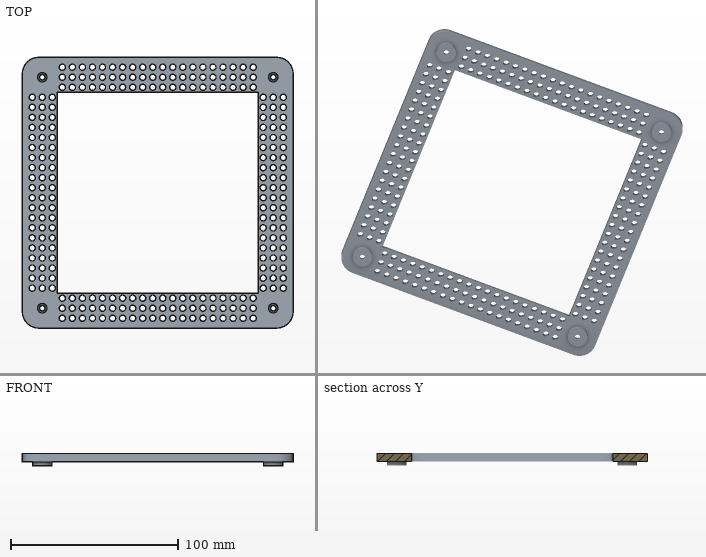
import cadquery as cq

side = 162.0
grid_steps = 27
pitch = side / grid_steps
plate_thickness = 5.0
corner_radius = 10.0

hole_diameter = 3.5
holes_per_row = 20
opening_side = holes_per_row * pitch
rows_per_side = 3
row_inset = 2 * pitch
row_offset = side / 2 - row_inset

total_height = 7.5
foot_height = total_height - plate_thickness
foot_diameter = 11.7
screw_spacing = 2 * row_offset
screw_hole_diameter = 3.0
screw_head_diameter = 5.7


def make_frame():
    """Rounded square plate, bottom face at Z = 0, with a sharp-cornered square opening."""
    plate = cq.Workplane("XY").rect(side, side).extrude(plate_thickness)
    plate = plate.edges("|Z").fillet(corner_radius)
    opening = cq.Workplane("XY").rect(opening_side, opening_side).extrude(plate_thickness)
    return plate.cut(opening)


def corner_cylinders(diameter, bottom, height):
    """Four upright cylinders on the screw positions."""
    return (
        cq.Workplane("XY")
        .workplane(offset=bottom)
        .rect(screw_spacing, screw_spacing, forConstruction=True)
        .vertices()
        .circle(diameter / 2)
        .extrude(height)
    )


def side_hole_pins():
    """Cutting pins for the hole pattern along one side (+Y) of the frame."""
    return (
        cq.Workplane("XY")
        .center(0, row_offset)
        .rarray(pitch, pitch, holes_per_row, rows_per_side)
        .circle(hole_diameter / 2)
        .extrude(plate_thickness)
    )


result = make_frame()

pins = side_hole_pins()
for quarter_turn in range(4):
    result = result.cut(pins.rotate((0, 0, 0), (0, 0, 1), 90 * quarter_turn))

result = result.union(corner_cylinders(foot_diameter, -foot_height, foot_height))
result = result.cut(corner_cylinders(screw_head_diameter, 0, plate_thickness))
result = result.cut(corner_cylinders(screw_hole_diameter, -foot_height, foot_height))